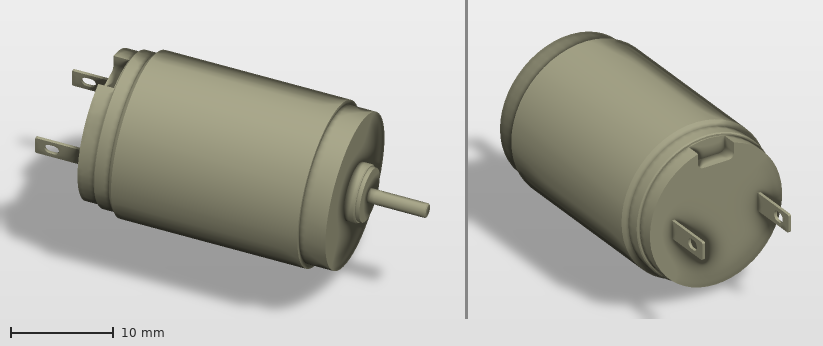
import cadquery as cq


overall_length = 38.9
terminal_length = 5.4
cap_length = 1.65
seat_x = terminal_length + cap_length
spigot_length = 0.1
rear_face_x = seat_x + spigot_length
rear_shoulder_x = 8.7
front_shoulder_x = 28.6
front_face_x = 31.3
boss_step_x = 32.4
boss_end_x = 32.85

cap_radius = 7.7

housing_radius = 17.0 / 2
neck_radius = 8.0
boss_radius = 3.0
boss_tip_radius = 2.75
neck_chamfer = 0.1
shoulder_chamfer = housing_radius - neck_radius
boss_chamfer = 0.1

shaft_radius = 0.75
shaft_chamfer = 0.1

notch_width = 4.15
notch_floor_z = 5.68
notch_corner_radius = 0.6
notch_overshoot = 0.4

terminal_spacing = 10.0
terminal_thickness = 0.3
terminal_width = 2.0
terminal_corner_radius = 0.2
eyelet_x = 1.75
eyelet_length = 1.5
eyelet_width = 1.1


def make_housing():
    """Turned housing with its rear spigot, bearing boss and output shaft, revolved about X."""
    profile = [
        (seat_x, 0),
        (seat_x, cap_radius),
        (rear_face_x, cap_radius),
        (rear_face_x, neck_radius - neck_chamfer),
        (rear_face_x + neck_chamfer, neck_radius),
        (rear_shoulder_x, neck_radius),
        (rear_shoulder_x + shoulder_chamfer, housing_radius),
        (front_shoulder_x, housing_radius),
        (front_shoulder_x, neck_radius),
        (front_face_x, neck_radius),
        (front_face_x, boss_radius),
        (boss_step_x - boss_chamfer, boss_radius),
        (boss_step_x, boss_radius - boss_chamfer),
        (boss_step_x, boss_tip_radius),
        (boss_end_x, boss_tip_radius),
        (boss_end_x, shaft_radius),
        (overall_length - shaft_chamfer, shaft_radius),
        (overall_length, shaft_radius - shaft_chamfer),
        (overall_length, 0),
    ]
    return cq.Workplane("XY").polyline(profile).close().revolve(360, (0, 0, 0), (1, 0, 0))


def make_notch():
    """Round-cornered slot that opens through the top of the end cap."""
    depth = cap_radius - notch_floor_z + notch_overshoot
    return (
        cq.Workplane("XY")
        .box(cap_length, notch_width, depth, centered=(False, True, False))
        .edges("|X and <Z")
        .fillet(notch_corner_radius)
        .translate((terminal_length, 0, notch_floor_z))
    )


def make_terminal(y):
    """Flat solder tag with an oblong eyelet, running back from the cap face."""
    tag = (
        cq.Workplane("XY")
        .box(terminal_length, terminal_thickness, terminal_width, centered=(False, True, True))
        .edges("|Y and <X")
        .fillet(terminal_corner_radius)
    )
    eyelet = (
        cq.Workplane("XZ")
        .center(eyelet_x, 0)
        .slot2D(eyelet_length, eyelet_width)
        .extrude(terminal_thickness, both=True)
    )
    return tag.cut(eyelet).translate((0, y, 0))


def make_end_cap():
    """Notched disc on the rear of the housing, with both terminals fixed in it."""
    cap = cq.Workplane("YZ").workplane(offset=terminal_length).circle(cap_radius).extrude(cap_length)
    cap = cap.cut(make_notch())
    for side in (-1, 1):
        cap = cap.union(make_terminal(side * terminal_spacing / 2))
    return cap


housing = make_housing()
end_cap = make_end_cap()

result = cq.Compound.makeCompound([housing.val(), *end_cap.vals()])